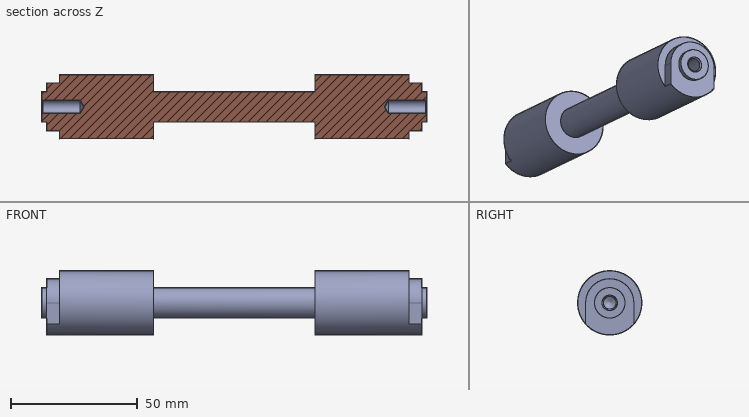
import cadquery as cq
import math

total_length = 152.0
shaft_diameter = 12.0
roller_diameter = 25.4

shaft_overhang = 2.0
tongue_length = 5.0
tongue_width = 19.0
roller_length = 37.2

hole_diameter = 5.0
hole_mouth_diameter = 6.1
hole_depth = 15.2
drill_point_angle = 118.0

tongue_start = total_length / 2 - shaft_overhang
roller_start = tongue_start - tongue_length


def cylinder(start_x, length, diameter):
    """Cylinder along +X from the given position."""
    return cq.Workplane("YZ", origin=(start_x, 0, 0)).circle(diameter / 2).extrude(length)


def end_tongue():
    """Arched tongue: round on top, flat sides, following the roller below."""
    profile = cq.Workplane("YZ", origin=(roller_start, 0, 0))
    arch = profile.circle(tongue_width / 2).extrude(tongue_length)
    lower_block = (
        profile.center(0, -roller_diameter / 4)
        .rect(tongue_width, roller_diameter / 2)
        .extrude(tongue_length)
    )
    envelope = cylinder(roller_start, tongue_length, roller_diameter)
    return arch.union(lower_block.intersect(envelope))


def end_hole():
    """Drilled blind hole with a 45 degree countersunk mouth and a conical bottom."""
    face_x = total_length / 2
    mouth_depth = (hole_mouth_diameter - hole_diameter) / 2
    bore_end = face_x - hole_depth
    point_depth = hole_diameter / 2 / math.tan(math.radians(drill_point_angle / 2))
    return (
        cq.Workplane("XY")
        .moveTo(face_x, 0)
        .lineTo(face_x, hole_mouth_diameter / 2)
        .lineTo(face_x - mouth_depth, hole_diameter / 2)
        .lineTo(bore_end, hole_diameter / 2)
        .lineTo(bore_end - point_depth, 0)
        .close()
        .revolve(360, (0, 0, 0), (1, 0, 0))
    )


roller = cylinder(roller_start - roller_length, roller_length, roller_diameter)
end_body = roller.union(end_tongue())
hole = end_hole()

result = cylinder(-total_length / 2, total_length, shaft_diameter)
result = result.union(end_body).union(end_body.mirror("YZ"))
result = result.cut(hole).cut(hole.mirror("YZ"))